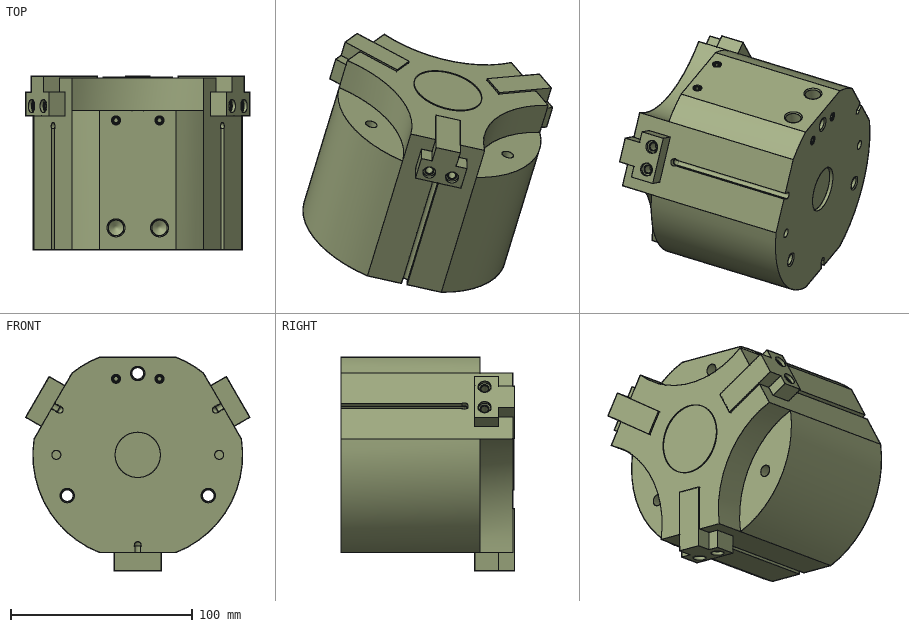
import cadquery as cq
import math


BODY_RADIUS = 58.0
FLAT_DISTANCE = 54.0
BODY_LENGTH = 95.0
SHOULDER_Y = 76.9
JAW_ANGLES = (-90, 30, 150)
PORT_FLAT_ANGLE = 90
JAW_PITCH = 120

COVER_RADIUS = 19.3
COVER_HEIGHT = 0.5

RECESS_DIAMETER = 25.0
RECESS_DEPTH = 2.0

HOLE_CIRCLE_RADIUS = 45.0
BOLT_ANGLES = (90, 210, 330)
BOLT_DIAMETER = 6.5
BOLT_RIM_DIAMETER = 7.9
DOWEL_ANGLES = (0, 180)
DOWEL_DIAMETER = 5.0
DOWEL_DEPTH = 9.9

PORT_X = 12.0
PORT_Y = 12.1
PORT_DIAMETER = 8.5
PORT_RIM_DIAMETER = 9.9
PORT_DEPTH = 8.0
DRILL_POINT_ANGLE = 118

SCREW_HOLE_RIM_DIAMETER = 5.0
SCREW_DIAMETER = 4.1
SCREW_END_DIAMETER = 3.3
SCREW_LENGTH = 5.0
SCREW_SINK = (SCREW_HOLE_RIM_DIAMETER - SCREW_DIAMETER) / 2
SCREW_SOCKET_WIDTH = 2.5
SCREW_SOCKET_DEPTH = 2.5
FRONT_SCREW_Z = 42.0
TOP_SCREW_Y = 71.5

SLOT_BORE_DIAMETER = 3.7
SLOT_BORE_DEPTH = 4.2
SLOT_NECK_WIDTH = 3.2
SLOT_END_Y = 68.2
SLOT_ENTRY_DIAMETER = 4.1
SLOT_ENTRY_DEPTH = 3.6

OVERALL_WIDTH = 123.8
JAW_INNER = 29.7
JAW_WIDTH = 26.0
UPPER_JAW_TILT = math.radians(30)
JAW_OUTER = (OVERALL_WIDTH - JAW_WIDTH * math.sin(UPPER_JAW_TILT)) / 2 / math.cos(UPPER_JAW_TILT)
JAW_START_Y = 74.0
RAIL_WIDTH = 13.7
RAIL_START_Y = 87.1
JAW_END_Y = 96.0
JAW_HOLE_SPACING = 13.0
JAW_HOLE_Y = 79.4
JAW_HOLE_DIAMETER = 4.1
JAW_HOLE_RIM_DIAMETER = 5.0
JAW_BORE_DIAMETER = 7.0
JAW_BORE_DEPTH = 2.0


def polar(radius, angle):
    """Point in the XZ plane at an angle measured from +X towards +Z."""
    a = math.radians(angle)
    return (radius * math.cos(a), radius * math.sin(a))


def along_y(y):
    """Workplane at a given y whose local axes are X and Z."""
    return cq.Workplane(cq.Plane(origin=(0, y, 0), xDir=(1, 0, 0), normal=(0, -1, 0)))


def extrude_y(sketch, length):
    """Extrude a sketch drawn on an along_y workplane towards +Y."""
    return sketch.extrude(-length)


def cylinder(start, direction, diameter, length):
    """Cylinder from a start point along a direction."""
    return cq.Workplane(cq.Solid.makeCylinder(diameter / 2, length, cq.Vector(*start), cq.Vector(*direction)))


def cone(start, direction, start_diameter, end_diameter, length):
    """Cone frustum from a start point along a direction."""
    return cq.Workplane(
        cq.Solid.makeCone(start_diameter / 2, end_diameter / 2, length, cq.Vector(*start), cq.Vector(*direction))
    )


def box(x_range, y_range, z_range):
    """Box between two limits on each axis."""
    size = [high - low for low, high in (x_range, y_range, z_range)]
    return cq.Workplane("XY").box(*size, centered=False).translate((x_range[0], y_range[0], z_range[0]))


def turn_to(shape, angle):
    """Turn a shape made at -90 degrees about the gripper axis to another angle."""
    return shape.rotate((0, 0, 0), (0, 1, 0), -(angle + 90))


def housing_front():
    """Cylinder with four flats, from the mounting face to the shoulder."""
    front = extrude_y(along_y(0).circle(BODY_RADIUS), SHOULDER_Y)
    outside_flat = box(
        (-BODY_RADIUS, BODY_RADIUS), (0, SHOULDER_Y), (-2 * BODY_RADIUS, -FLAT_DISTANCE)
    )
    for angle in (*JAW_ANGLES, PORT_FLAT_ANGLE):
        front = front.cut(turn_to(outside_flat, angle))
    return front


def housing_rear():
    """Three-armed jaw end: flats joined by hollows that mirror the round body."""
    flat_half_angle = math.degrees(math.acos(FLAT_DISTANCE / BODY_RADIUS))
    hollow_half_angle = JAW_PITCH / 2 - flat_half_angle
    chord_distance = BODY_RADIUS * math.cos(math.radians(hollow_half_angle))
    hollow_distance = 2 * chord_distance - BODY_RADIUS

    outline = along_y(SHOULDER_Y).moveTo(*polar(BODY_RADIUS, JAW_ANGLES[0] - flat_half_angle))
    for angle in JAW_ANGLES:
        flat_end = polar(BODY_RADIUS, angle + flat_half_angle)
        hollow_middle = polar(hollow_distance, angle + JAW_PITCH / 2)
        next_flat = polar(BODY_RADIUS, angle + JAW_PITCH - flat_half_angle)
        outline = outline.lineTo(*flat_end).threePointArc(hollow_middle, next_flat)
    return extrude_y(outline.close(), BODY_LENGTH - SHOULDER_Y)


def rimmed_hole(start, direction, diameter, rim_diameter, depth):
    """Round hole whose mouth has a 45 degree chamfer."""
    hole = cylinder(start, direction, diameter, depth)
    rim = cone(start, direction, rim_diameter, diameter, (rim_diameter - diameter) / 2)
    return hole.union(rim)


def bolt_hole(angle):
    """Through hole with a chamfered rim."""
    x, z = polar(HOLE_CIRCLE_RADIUS, angle)
    return rimmed_hole((x, 0, z), (0, 1, 0), BOLT_DIAMETER, BOLT_RIM_DIAMETER, BODY_LENGTH)


def dowel_hole(angle):
    """Plain blind hole in the mounting face."""
    x, z = polar(HOLE_CIRCLE_RADIUS, angle)
    return cylinder((x, 0, z), (0, 1, 0), DOWEL_DIAMETER, DOWEL_DEPTH)


def air_port(x):
    """Blind drilled hole in the top flat with a chamfered rim and a drill point."""
    point_depth = PORT_DIAMETER / 2 / math.tan(math.radians(DRILL_POINT_ANGLE / 2))
    mouth = (x, PORT_Y, FLAT_DISTANCE)
    floor = (x, PORT_Y, FLAT_DISTANCE - PORT_DEPTH)
    hole = rimmed_hole(mouth, (0, 0, -1), PORT_DIAMETER, PORT_RIM_DIAMETER, PORT_DEPTH)
    point = cone(floor, (0, 0, -1), PORT_DIAMETER, 0, point_depth)
    return hole.union(point)


def sensor_slot():
    """Keyhole slot in the flat at -90 degrees, with a ball end below a wider entry hole."""
    axis_z = SLOT_BORE_DEPTH - FLAT_DISTANCE
    half_neck = SLOT_NECK_WIDTH / 2
    mouth = (0, SLOT_END_Y, -FLAT_DISTANCE)
    bore = cylinder((0, 0, axis_z), (0, 1, 0), SLOT_BORE_DIAMETER, SLOT_END_Y)
    neck = box((-half_neck, half_neck), (0, SLOT_END_Y), (-FLAT_DISTANCE, axis_z))
    shaft = cylinder(mouth, (0, 0, 1), SLOT_BORE_DIAMETER, SLOT_BORE_DEPTH)
    ball_end = cq.Workplane("XY").sphere(SLOT_BORE_DIAMETER / 2).translate((0, SLOT_END_Y, axis_z))
    entry = cylinder(mouth, (0, 0, 1), SLOT_ENTRY_DIAMETER, SLOT_ENTRY_DEPTH)
    return bore.union(neck).union(shaft).union(ball_end).union(entry)


def rail():
    """Radial guide rail of the jaw at -90 degrees."""
    half_rail = RAIL_WIDTH / 2
    return box((-half_rail, half_rail), (RAIL_START_Y, JAW_END_Y), (-JAW_OUTER, -JAW_INNER))


def make_jaw():
    """Jaw at -90 degrees: wide block outside the housing on a rail that runs inward."""
    half_jaw = JAW_WIDTH / 2
    block = box((-half_jaw, half_jaw), (JAW_START_Y, RAIL_START_Y), (-JAW_OUTER, -FLAT_DISTANCE))
    jaw = block.union(rail())
    for x in (-JAW_HOLE_SPACING / 2, JAW_HOLE_SPACING / 2):
        mouth = (x, JAW_HOLE_Y, -JAW_OUTER)
        jaw = jaw.cut(cylinder(mouth, (0, 0, 1), JAW_BORE_DIAMETER, JAW_BORE_DEPTH))
        floor_z = JAW_BORE_DEPTH - JAW_OUTER
        hole_depth = -FLAT_DISTANCE - floor_z
        floor = (x, JAW_HOLE_Y, floor_z)
        jaw = jaw.cut(rimmed_hole(floor, (0, 0, 1), JAW_HOLE_DIAMETER, JAW_HOLE_RIM_DIAMETER, hole_depth))
    return jaw


def screw_hole():
    """Hole for a set screw along +Y from the origin, with a chamfered mouth."""
    depth = SCREW_SINK + SCREW_LENGTH
    return rimmed_hole((0, 0, 0), (0, 1, 0), SCREW_DIAMETER, SCREW_HOLE_RIM_DIAMETER, depth)


def make_screw():
    """Set screw sunk in its hole, with a hexagon socket in its chamfered end."""
    chamfer = (SCREW_DIAMETER - SCREW_END_DIAMETER) / 2
    blank = cylinder((0, SCREW_SINK, 0), (0, 1, 0), SCREW_DIAMETER, SCREW_LENGTH)
    socket_diameter = SCREW_SOCKET_WIDTH / math.cos(math.radians(30))
    socket = extrude_y(along_y(SCREW_SINK).polygon(6, socket_diameter), SCREW_SOCKET_DEPTH)
    return blank.faces("<Y").chamfer(chamfer).cut(socket)


def place_at_screws(shape):
    """Copies of a shape along +Y at the screw places: two in the mounting face and two in the top flat."""
    upright = shape.rotate((0, 0, 0), (1, 0, 0), -90)
    placed = []
    for x in (-PORT_X, PORT_X):
        placed.append(shape.translate((x, 0, FRONT_SCREW_Z)))
        placed.append(upright.translate((x, TOP_SCREW_Y, FLAT_DISTANCE)))
    return placed


def make_housing():
    """Housing with every hole, slot and guide."""
    cover = extrude_y(along_y(BODY_LENGTH).circle(COVER_RADIUS), COVER_HEIGHT)
    housing = housing_front().union(housing_rear()).union(cover)
    housing = housing.cut(cylinder((0, 0, 0), (0, 1, 0), RECESS_DIAMETER, RECESS_DEPTH))
    for angle in BOLT_ANGLES:
        housing = housing.cut(bolt_hole(angle))
    for angle in DOWEL_ANGLES:
        housing = housing.cut(dowel_hole(angle))
    for x in (-PORT_X, PORT_X):
        housing = housing.cut(air_port(x))
    for hole in place_at_screws(screw_hole()):
        housing = housing.cut(hole)
    for angle in JAW_ANGLES:
        housing = housing.cut(turn_to(sensor_slot(), angle))
        housing = housing.cut(turn_to(rail(), angle))
    return housing


housing = make_housing()
jaws = [turn_to(make_jaw(), angle) for angle in JAW_ANGLES]
screws = place_at_screws(make_screw())

result = cq.Compound.makeCompound([body.val() for body in (housing, *jaws, *screws)])